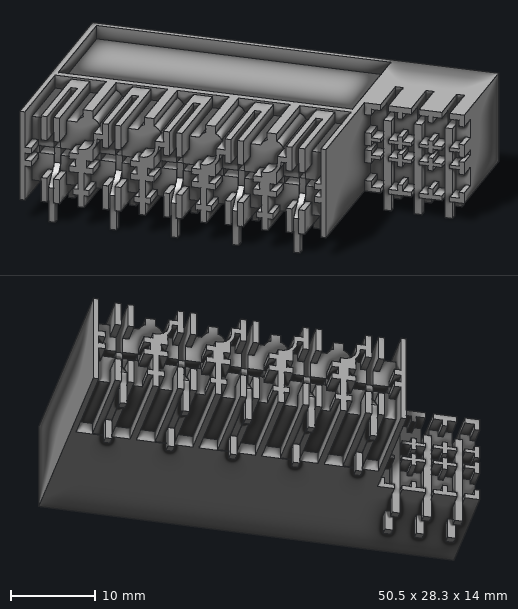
import cadquery as cq
import math


total_width = 50.5
total_depth = 28.3
housing_height = 11.35
pin_length = 2.65
insert_axis_z = 5.6

power_count = 5
power_width = 38.1
power_pitch = power_width / power_count
power_depth = 11.7
recess = 2.75
side_wall = 0.65
middle_half = 4.1

tray_wall = 0.75
tray_front = 12.6
tray_depth = 1.7

socket_half_width = 1.15
socket_inner = 2.4
socket_outer = 5.5
contact_slot = 0.8
contact_slot_depth = 9.25

blade_half_height = 0.45
blade_inner_half_width = 2.2
blade_stop = 0.65
blade_depth = 6.85

flange_half_width = 1.45
flange_half_height = 1.2
stem_half_width = 0.38
foot_half_width = 1.0
foot_height = 0.75
neck_half_width = 0.6
key_radius = 1.55
key_z = 9.0
cradle_radius = 2.0

contact_tip = 0.55
contact_face = 2.9
slope_bottom = 1.75
power_pin_depth = 0.95

signal_count = 3
signal_pitch = power_pitch / 2
signal_front = 14.9
signal_recess = 2.35
signal_center_x = 44.4
signal_half_span = 5.45
signal_rib_half_width = 0.3
signal_slot = 0.95
signal_slot_back = 20.65
signal_contact_front = 16.0
signal_contact_top = 8.95
signal_pin_depth = 0.9
signal_plate_outer = 5.0
signal_stub_end = 4.25
signal_row_offset = 1.1
signal_row_half_height = 0.8
signal_shelf_half_height = 0.225


def block(x_range, y_range, z_range):
    """A box given by its (low, high) limits along each axis."""
    (x0, x1), (y0, y1), (z0, z1) = x_range, y_range, z_range
    return cq.Workplane("XY").box(x1 - x0, y1 - y0, z1 - z0, centered=False).translate((x0, y0, z0))


def around(center, half):
    """The limits of a span that reaches `half` to both sides of `center`."""
    return (center - half, center + half)


full_height = (0, housing_height)
middle_z = around(insert_axis_z, middle_half)
blade_z = around(insert_axis_z, blade_half_height)
flange_z = around(insert_axis_z, flange_half_height)
front_zone = (0, recess)
plug_zone = (0, power_depth)
power_centers = [power_pitch * (i + 0.5) for i in range(power_count)]
rib_centers = [power_pitch * i for i in range(1, power_count)]
signal_centers = [signal_center_x + signal_pitch * (i - (signal_count - 1) / 2) for i in range(signal_count)]


def make_housing():
    power_body = block((0, power_width), (power_depth, total_depth), full_height)
    signal_body = block((power_width, total_width), (signal_front + signal_recess, total_depth), full_height)
    tray = block(
        (tray_wall, power_width - tray_wall),
        (tray_front, total_depth - tray_wall),
        (housing_height - tray_depth, housing_height),
    )
    middle = block((0, power_width), (recess, power_depth), middle_z)
    housing = power_body.union(signal_body).cut(tray).union(middle)
    for wall_x in [(0, side_wall), (power_width - side_wall, power_width)]:
        housing = housing.union(block(wall_x, plug_zone, full_height))
    for edge_x in (0, power_width):
        inside = block((0, power_width), front_zone, full_height)
        housing = housing.union(make_flange(edge_x).intersect(inside))
    return housing


def make_flange(x):
    """Front flange on a rib or side wall, notched on both sides for the blades."""
    flange = block(around(x, flange_half_width), front_zone, flange_z)
    for side in (-1, 1):
        notch_x = sorted((x + side * blade_stop, x + side * flange_half_width))
        flange = flange.cut(block(notch_x, front_zone, blade_z))
    return flange


def make_rib(x):
    """Rib between two power poles: a keyed bar at the back, a flanged stem and a cradle in front."""
    neck = block(around(x, neck_half_width), (recess, power_depth), (key_z, housing_height))
    key = (
        cq.Workplane("XZ", origin=(x, power_depth, key_z))
        .circle(key_radius)
        .extrude(power_depth - recess)
    )
    stem = block(around(x, stem_half_width), plug_zone, (0, insert_axis_z))
    foot = block(around(x, foot_half_width), front_zone, (middle_z[0], middle_z[0] + foot_height))
    return neck.union(key).union(stem).union(foot).union(make_flange(x)).union(make_cradle(x))


def make_cradle(x):
    """Curved arm from the rib flange to the next socket, concentric with the key."""

    def on_arc(radius, angle):
        return (radius * math.cos(angle), key_z + radius * math.sin(angle))

    inner_start = -math.acos(-stem_half_width / key_radius)
    outer_end = -math.acos(flange_half_width / cradle_radius)
    next_socket = power_pitch / 2 - socket_half_width
    return (
        cq.Workplane("XZ", origin=(x, recess, 0))
        .moveTo(-stem_half_width, flange_z[1])
        .lineTo(*on_arc(key_radius, inner_start))
        .threePointArc(on_arc(key_radius, inner_start / 2), on_arc(key_radius, 0))
        .lineTo(key_radius, middle_z[1])
        .lineTo(next_socket, middle_z[1])
        .lineTo(next_socket, key_z)
        .lineTo(cradle_radius, key_z)
        .threePointArc(on_arc(cradle_radius, outer_end / 2), on_arc(cradle_radius, outer_end))
        .lineTo(flange_half_width, flange_z[1])
        .close()
        .extrude(recess)
    )


def make_sockets(x):
    width = around(x, socket_half_width)
    upper = block(width, plug_zone, (insert_axis_z + socket_inner, insert_axis_z + socket_outer))
    lower = block(width, plug_zone, (insert_axis_z - socket_outer, insert_axis_z - socket_inner))
    return upper.union(lower)


def make_power_openings(x):
    """Vertical contact slot and horizontal blade slot of one pole."""
    slot = block(around(x, contact_slot / 2), (0, contact_slot_depth), full_height)
    blade = block(around(x, blade_inner_half_width), (recess, blade_depth), blade_z)
    return slot.union(blade)


def make_power_contact(x):
    """Sheet contact with a sloping nose and two pins."""
    return (
        cq.Workplane("YZ", origin=(x - contact_slot / 2, 0, 0))
        .polyline(
            [
                (contact_tip, -pin_length),
                (contact_tip, slope_bottom),
                (contact_face, slope_bottom + contact_face - contact_tip),
                (contact_face, blade_z[1]),
                (blade_depth, blade_z[1]),
                (blade_depth, blade_z[0]),
                (contact_slot_depth, blade_z[0]),
                (contact_slot_depth, -pin_length),
                (contact_slot_depth - power_pin_depth, -pin_length),
                (contact_slot_depth - power_pin_depth, 0),
                (contact_tip + power_pin_depth, 0),
                (contact_tip + power_pin_depth, -pin_length),
            ]
        )
        .close()
        .extrude(contact_slot)
    )


def make_signal_front():
    """Shelves and stub ribs that stand in front of the signal block."""
    zone = (signal_front, signal_front + signal_recess)
    full_width = (power_width, total_width)
    left_end = signal_center_x - signal_half_span
    right_end = signal_center_x + signal_half_span
    rib_spans = [(power_width, left_end), (right_end, total_width)]
    for left, right in zip(signal_centers, signal_centers[1:]):
        rib_spans.append(around((left + right) / 2, signal_rib_half_width))

    row_levels = [insert_axis_z - signal_row_offset, insert_axis_z + signal_row_offset]
    shelf_levels = [around(z, signal_shelf_half_height) for z in row_levels]
    shelf_levels.append((insert_axis_z + signal_plate_outer, housing_height))
    shelf_levels.append((0, insert_axis_z - signal_plate_outer))
    stub_levels = [around(z, signal_row_half_height) for z in row_levels]
    stub_levels.append((insert_axis_z + signal_stub_end, housing_height))
    stub_levels.append((0, insert_axis_z - signal_stub_end))

    front = block(full_width, zone, shelf_levels[0])
    for level in shelf_levels[1:]:
        front = front.union(block(full_width, zone, level))
    for span in rib_spans:
        for level in stub_levels:
            front = front.union(block(span, zone, level))
    return front


def make_signal_contact(x):
    """Flat contact with a front and a back pin."""
    width = around(x, signal_slot / 2)
    contact = block(width, (signal_contact_front, signal_slot_back), (0, signal_contact_top))
    for pin_front in (signal_contact_front, signal_slot_back - signal_pin_depth):
        contact = contact.union(block(width, (pin_front, pin_front + signal_pin_depth), (-pin_length, 0)))
    return contact


result = make_housing()
for rib_x in rib_centers:
    result = result.union(make_rib(rib_x))
for pole_x in power_centers:
    result = result.union(make_sockets(pole_x)).cut(make_power_openings(pole_x))
    result = result.union(make_power_contact(pole_x))

result = result.union(make_signal_front())
for pole_x in signal_centers:
    slot_zone = block(around(pole_x, signal_slot / 2), (signal_front, signal_slot_back), full_height)
    result = result.cut(slot_zone).union(make_signal_contact(pole_x))